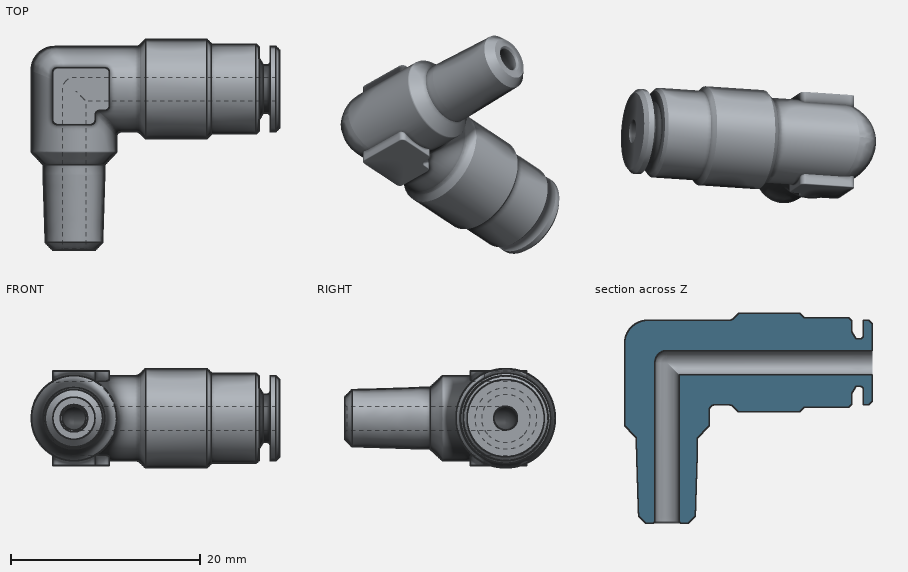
import cadquery as cq


body_radius = 9.0 / 2
arm_length = 5.5
outer_bend_radius = 2.5
inner_bend_radius = 0.5

pad_size = 6.0
pad_overhang = pad_size - 3.75
pad_notch = 1.5
pad_half_height = 5.0
pad_corner_radius = 0.5
pad_rim_radius = 0.1

collar_radius = 10.5 / 2
sleeve_radius = 9.5 / 2
collar_start = 6.83
collar_root_radius = 0.5
collar_end = 14.02
sleeve_end = 19.55
sleeve_chamfer = 0.32

ring_cone_radius = 6.5 / 2
ring_cone_length = 0.42
ring_neck_radius = 5.1 / 2
flange_radius = 9.0 / 2
flange_start = 20.72
flange_end = 21.73
flange_chamfer = 0.42
flange_root_radius = 0.28

shoulder_start = 6.65
shoulder_edge_radius = 0.2
shoulder_end = 7.98
stem_radius = 6.5 / 2
taper_start = 9.0
stem_end = 17.0
stem_chamfer = 0.8
stem_taper = 1 / 16

bore_radius = 2.5 / 2
bore_mouth_chamfer = 0.2


def run_turning(profile):
    """Solid turned about X from (position, radius) points."""
    return cq.Workplane("XY").polyline(profile).close().revolve(360, (0, 0, 0), (1, 0, 0))


def stem_turning(profile):
    """Solid turned about Y from (position along -Y, radius) points."""
    points = [(radius, -position) for position, radius in profile]
    return cq.Workplane("XY").polyline(points).close().revolve(360, (0, 0, 0), (0, 1, 0))


def mitred_arms():
    """Two equal cylinders cut to meet on the diagonal plane through the bend."""
    corner = -body_radius
    run = cq.Workplane("YZ", origin=(corner, 0, 0)).circle(body_radius).extrude(arm_length - corner)
    stem = cq.Workplane("XZ", origin=(0, -corner, 0)).circle(body_radius).extrude(arm_length - corner)
    run_side = (
        cq.Workplane("XY")
        .polyline([(-arm_length, arm_length), (arm_length, arm_length), (arm_length, -arm_length)])
        .close()
        .extrude(body_radius, both=True)
    )
    return run.intersect(run_side).union(stem.cut(run_side))


def grip_pads():
    """Block through the bend, notched on the inside; its two ends stand proud as pads."""
    near = -pad_overhang
    far = pad_size - pad_overhang
    notch = far - pad_notch
    outline = [(near, -near), (far, -near), (far, -notch), (notch, -notch), (notch, -far), (near, -far)]
    return (
        cq.Workplane("XY")
        .polyline(outline).close()
        .extrude(pad_half_height, both=True)
        .edges("|Z").fillet(pad_corner_radius)
        .faces("<Z or >Z").edges().fillet(pad_rim_radius)
    )


def elbow_body():
    """Arms and pads, with the mitre edges rounded where they show beside the pads."""
    body = mitred_arms().union(grip_pads())
    body = body.edges("%ELLIPSE").edges(">Y").fillet(outer_bend_radius)
    return body.edges("%ELLIPSE").edges("<Y").fillet(inner_bend_radius)


def collar():
    """Neck, collar and sleeve, with a small round where the neck meets the collar."""
    blank = run_turning([
        (arm_length, 0),
        (arm_length, body_radius),
        (collar_start, body_radius),
        (collar_start + collar_radius - body_radius, collar_radius),
        (collar_end, collar_radius),
        (collar_end + collar_radius - sleeve_radius, sleeve_radius),
        (sleeve_end - sleeve_chamfer, sleeve_radius),
        (sleeve_end, sleeve_radius - sleeve_chamfer),
        (sleeve_end, 0),
    ])
    return blank.edges("%CIRCLE").edges(">>X[1]").fillet(collar_root_radius)


def release_ring():
    """Flanged ring standing out of the sleeve."""
    neck_start = sleeve_end + ring_cone_length
    neck_end = flange_start - flange_root_radius
    profile = (
        cq.Workplane("XY")
        .moveTo(sleeve_end, 0)
        .lineTo(sleeve_end, ring_cone_radius)
        .lineTo(neck_start, ring_neck_radius)
        .lineTo(neck_end, ring_neck_radius)
        .radiusArc((flange_start, ring_neck_radius + flange_root_radius), -flange_root_radius)
        .lineTo(flange_start, flange_radius)
        .lineTo(flange_end - flange_chamfer, flange_radius)
        .lineTo(flange_end, flange_radius - flange_chamfer)
        .lineTo(flange_end, 0)
        .close()
    )
    return profile.revolve(360, (0, 0, 0), (1, 0, 0))


def stem():
    """Shoulder and tapered stem with a chamfered tip."""
    taper_end = stem_end - stem_chamfer
    tip_radius = stem_radius - (taper_end - taper_start) * stem_taper / 2
    blank = stem_turning([
        (arm_length, 0),
        (arm_length, body_radius),
        (shoulder_start, body_radius),
        (shoulder_end, stem_radius),
        (taper_start, stem_radius),
        (taper_end, tip_radius),
        (stem_end, tip_radius - stem_chamfer),
        (stem_end, 0),
    ])
    return blank.edges("%CIRCLE").edges("<<Y[1]").fillet(shoulder_edge_radius)


def flow_passage():
    """Two bores meeting in a ball at the bend, with a chamfered mouth on the stem."""
    run_bore = run_turning([(0, 0), (0, bore_radius), (flange_end, bore_radius), (flange_end, 0)])
    stem_bore = stem_turning([
        (0, 0),
        (0, bore_radius),
        (stem_end - bore_mouth_chamfer, bore_radius),
        (stem_end, bore_radius + bore_mouth_chamfer),
        (stem_end, 0),
    ])
    return run_bore.union(stem_bore).union(cq.Workplane("XY").sphere(bore_radius))


result = elbow_body().union(collar()).union(release_ring()).union(stem()).cut(flow_passage())